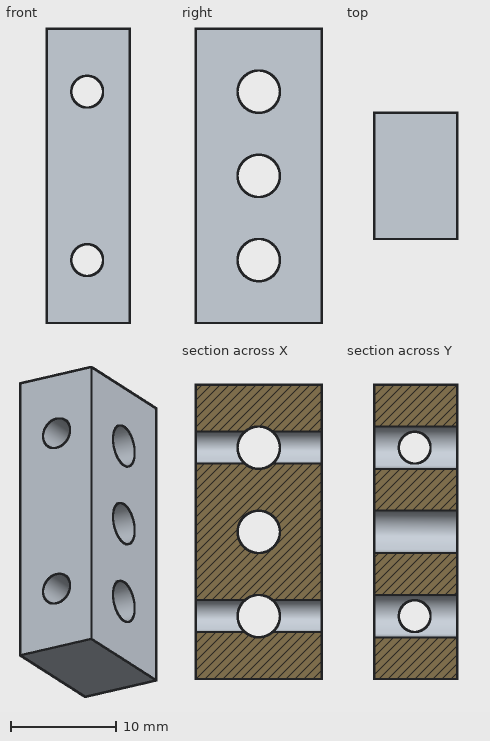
import cadquery as cq

width_x = 7.9
depth_y = 12.0
height_z = 28.0

hole_x_diameter = 4.0
hole_pitch = 8.0
hole_x_heights = [-hole_pitch, 0.0, hole_pitch]

hole_y_diameter = 3.0
hole_y_edge_distance = 3.85
hole_y_offset = hole_y_edge_distance - width_x / 2
hole_y_heights = [-hole_pitch, hole_pitch]


def block():
    """Plain rectangular block centred on the origin."""
    return cq.Workplane("XY").box(width_x, depth_y, height_z)


def holes_along_x():
    """Cylinders that cut the row of holes through the wide faces."""
    centres = [(0.0, z) for z in hole_x_heights]
    return (
        cq.Workplane("YZ")
        .pushPoints(centres)
        .circle(hole_x_diameter / 2)
        .extrude(width_x, both=True)
    )


def holes_along_y():
    """Cylinders that cut the cross holes through the narrow faces."""
    centres = [(hole_y_offset, z) for z in hole_y_heights]
    return (
        cq.Workplane("XZ")
        .pushPoints(centres)
        .circle(hole_y_diameter / 2)
        .extrude(depth_y, both=True)
    )


result = block().cut(holes_along_x()).cut(holes_along_y())